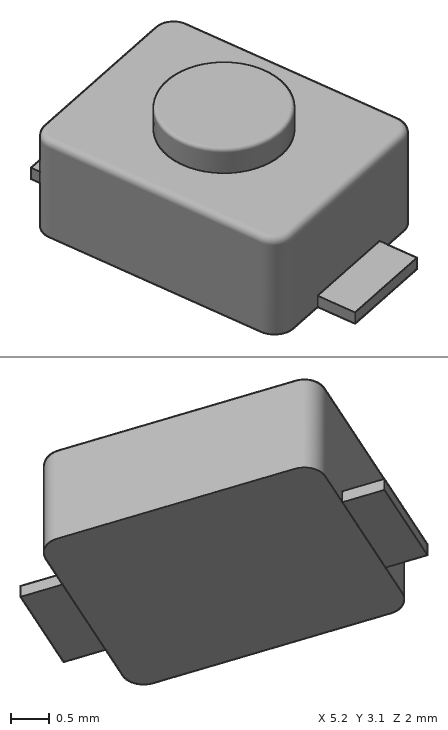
import cadquery as cq

overall_length = 5.2
overall_height = 2.0

housing_length = 4.0
housing_width = 3.1
housing_height = 1.6
housing_corner_radius = 0.3
housing_top_fillet = 0.1

button_diameter = 1.85
button_top_fillet = 0.05

lead_width = 1.4
lead_thickness = 0.19

button_height = overall_height - housing_height
lead_length = (overall_length - housing_length) / 2
lead_center_x = (housing_length + lead_length) / 2


def make_housing():
    """Block standing on Z = 0 with rounded upright corners and a softened top rim."""
    return (
        cq.Workplane("XY")
        .box(housing_length, housing_width, housing_height, centered=(True, True, False))
        .edges("|Z")
        .fillet(housing_corner_radius)
        .faces(">Z")
        .edges()
        .fillet(housing_top_fillet)
    )


def make_button():
    """Round push button resting on the centre of the housing top."""
    return (
        cq.Workplane("XY")
        .workplane(offset=housing_height)
        .circle(button_diameter / 2)
        .extrude(button_height)
        .faces(">Z")
        .edges()
        .fillet(button_top_fillet)
    )


def make_lead(side):
    """Flat lead meeting an end wall of the housing; side is -1 or +1 along X."""
    return (
        cq.Workplane("XY")
        .center(side * lead_center_x, 0)
        .box(lead_length, lead_width, lead_thickness, centered=(True, True, False))
    )


housing = make_housing()
button = make_button()
leads = [make_lead(side) for side in (-1, 1)]

result = cq.Compound.makeCompound(
    [housing.val(), button.val(), *[lead.val() for lead in leads]]
)